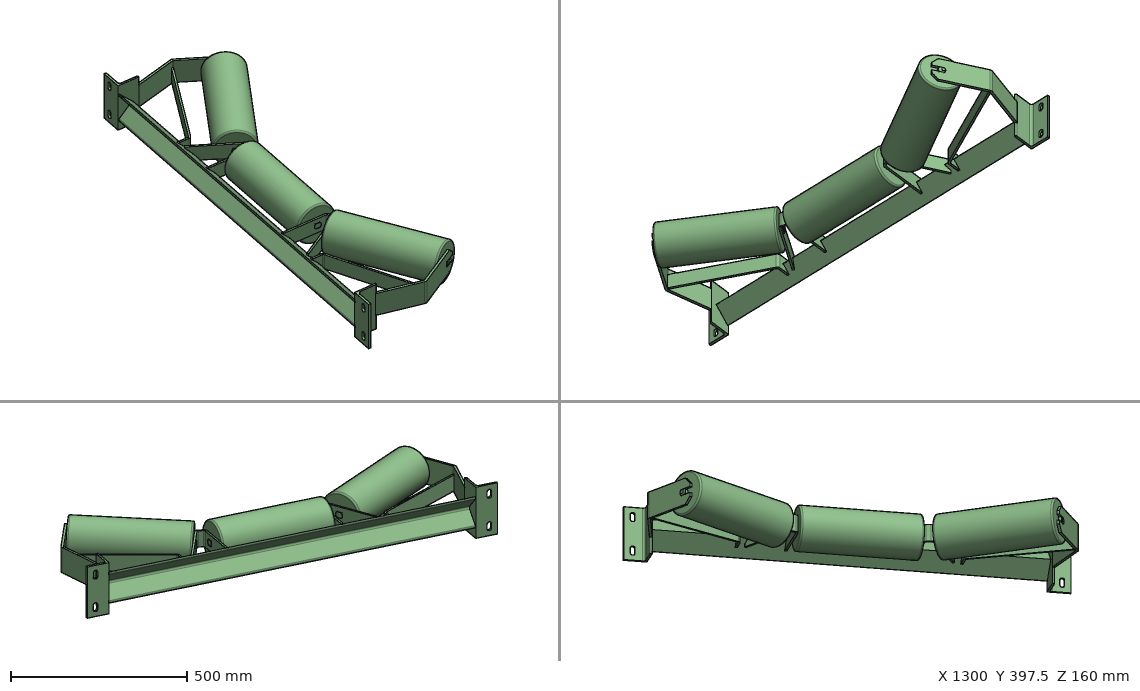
import cadquery as cq
import math

overall_length = 1300.0
strap_thickness = 8.0
brace_thickness = 6.0
bend_radius = 5.0

roller_diameter = 133.0
roller_length = 359.0
roller_edge_radius = 5.0
end_gap = 1.0
middle_axis_y = 151.0
wing_x = 389.0
wing_y = 252.0
wing_z = 5.0
trough_angle = 30.0
forward_tilt = 1.5

shaft_diameter = 23.0
shaft_flat_width = 18.0

beam_leg = 69.0
beam_thickness = 5.8
beam_root_radius = 6.0
beam_toe_radius = 5.0

foot_width = 69.0
foot_thickness = 8.0
foot_leg_height = 73.0
foot_leg_thickness = 6.0
foot_depth = 160.0
foot_root_radius = 8.0
foot_toe_radius = 4.0
slot_width = 14.0
slot_length = 27.0
slot_edge_distance = 26.0
slot_spacing = 101.0

strap_width = 79.0
strap_z = 9.8
strap_above_axis = 30.0
strap_below_axis = 147.0
strap_corner_chamfer = 20.0
strap_foot_overlap = 4.0
strut_width = 51.0
strut_bend_x = 328.0
strut_bend_y = 70.0

saddle_width = 51.0
saddle_shoulder_y = 186.0
saddle_above_axis = 39.0
saddle_below_axis = 145.0

foot_inner_x = overall_length / 2 - foot_width
foot_outer_x = foot_inner_x + foot_leg_thickness
beam_half_width = beam_leg / math.sqrt(2)
beam_apex_y = (beam_leg + beam_thickness) / math.sqrt(2)
plate_offset = roller_length / 2 + end_gap
strap_offset = plate_offset + strap_thickness / 2
saddle_offset = plate_offset + brace_thickness / 2
shaft_length = 2 * (plate_offset + strap_thickness)


def wing_point(along, across):
    """Point in XY beside the -X roller: outwards along its axis, then upwards across it."""
    angle = math.radians(trough_angle)
    x = -wing_x - along * math.cos(angle) + across * math.sin(angle)
    y = wing_y + along * math.sin(angle) + across * math.cos(angle)
    return x, y


def place_on_wing(body):
    """Move a body built along X at the origin to the -X outer roller position."""
    leaned = body.rotate((0, 0, 0), (0, 1, 0), forward_tilt)
    raised = leaned.rotate((0, 0, 0), (0, 0, 1), -trough_angle)
    return raised.translate((-wing_x, wing_y, wing_z))


def place_in_middle(body):
    return body.translate((0, middle_axis_y, 0))


def mirrored(body):
    return body.mirror("YZ")


def place_three(body):
    """Copies of a body at the -X, middle and +X roller positions."""
    wing = place_on_wing(body)
    return [wing, place_in_middle(body), mirrored(wing)]


def round_bend(solid, point, radius):
    """Round the edge parallel to Z that passes nearest to an XY point."""
    x, y = point
    z = solid.val().Center().z
    return solid.edges(cq.selectors.NearestToPointSelector((x, y, z))).fillet(radius)


def bent_plate(path, thickness, width, z_middle=0.0):
    """Plate of constant thickness whose mid-plane follows the XY path, with rounded bends."""
    points = [cq.Vector(x, y) for x, y in path]
    directions = [(end - start).normalized() for start, end in zip(points, points[1:])]
    before = [directions[0]] + directions
    after = directions + [directions[-1]]
    left = []
    right = []
    for point, d_in, d_out in zip(points, before, after):
        bisector = (d_in + d_out).normalized()
        normal = cq.Vector(-bisector.y, bisector.x)
        offset = normal * (thickness / 2 / bisector.dot(d_in))
        left.append((point + offset).toTuple()[:2])
        right.append((point - offset).toTuple()[:2])
    outline = cq.Workplane("XY").polyline(left + right[::-1]).close()
    solid = outline.extrude(width).translate((0, 0, -width / 2))
    for i in range(1, len(path) - 1):
        turns_left = before[i].cross(after[i]).z > 0
        inner, outer = (left[i], right[i]) if turns_left else (right[i], left[i])
        solid = round_bend(solid, inner, bend_radius)
        solid = round_bend(solid, outer, bend_radius + thickness)
    return solid.translate((0, 0, z_middle))


def make_shaft():
    """Round bar along X with two flats facing +Z and -Z."""
    bar = cq.Workplane("YZ").circle(shaft_diameter / 2).extrude(shaft_length)
    bar = bar.translate((-shaft_length / 2, 0, 0))
    return bar.intersect(cq.Workplane("XY").box(shaft_length, shaft_diameter, shaft_flat_width))


def make_roller():
    drum = cq.Workplane("YZ").circle(roller_diameter / 2).extrude(roller_length)
    drum = drum.translate((-roller_length / 2, 0, 0))
    drum = drum.edges("%CIRCLE").fillet(roller_edge_radius)
    return drum.cut(make_shaft())


def shaft_slot():
    """Clearance above the outer end of a shaft, so that it can be dropped in from +Y."""
    slot_height = strap_above_axis + strap_thickness
    block = cq.Workplane("XY").box(4 * strap_thickness, slot_height, shaft_flat_width)
    return block.translate((-strap_offset, slot_height / 2, 0))


def beam_envelope():
    """Wedge filling everything under the two outer faces of the angle section."""
    return (
        cq.Workplane("YZ")
        .polyline([
            (beam_apex_y, 0),
            (beam_apex_y - beam_half_width, beam_half_width),
            (beam_apex_y - beam_half_width, -beam_half_width),
        ])
        .close()
        .extrude(foot_inner_x, both=True)
    )


def make_beam():
    angle = (
        cq.Workplane("YZ")
        .polyline([
            (0, 0),
            (-beam_leg, 0),
            (-beam_leg, beam_thickness),
            (-beam_thickness, beam_thickness),
            (-beam_thickness, beam_leg),
            (0, beam_leg),
        ])
        .close()
        .extrude(foot_inner_x, both=True)
    )
    root = cq.selectors.NearestToPointSelector((0, -beam_thickness, beam_thickness))
    angle = angle.edges(root).fillet(beam_root_radius)
    for toe_y, toe_z in ((-beam_leg, beam_thickness), (-beam_thickness, beam_leg)):
        toe = cq.selectors.NearestToPointSelector((0, toe_y, toe_z))
        angle = angle.edges(toe).fillet(beam_toe_radius)
    return angle.rotate((0, 0, 0), (1, 0, 0), 45).translate((0, beam_apex_y, 0))


def make_saddle():
    """Bent plate on the -X side, holding the middle roller and an outer roller."""
    path = [
        (-saddle_offset, beam_apex_y - saddle_width / 2),
        (-saddle_offset, saddle_shoulder_y),
        wing_point(-saddle_offset, saddle_above_axis),
        wing_point(-saddle_offset, -saddle_below_axis),
    ]
    saddle = bent_plate(path, brace_thickness, saddle_width).cut(beam_envelope())
    saddle = saddle.cut(place_in_middle(make_shaft()))
    return saddle.cut(place_on_wing(make_shaft()))


def make_crossbeam():
    """Angle section with the two saddles standing on its ridge."""
    saddle = make_saddle()
    return make_beam().union(saddle).union(mirrored(saddle))


def make_foot():
    """Slotted angle at the -X end."""
    end_x = -overall_length / 2
    foot = (
        cq.Workplane("XY")
        .polyline([
            (end_x, 0),
            (-foot_inner_x, 0),
            (-foot_inner_x, foot_leg_height),
            (-foot_outer_x, foot_leg_height),
            (-foot_outer_x, foot_thickness),
            (end_x, foot_thickness),
        ])
        .close()
        .extrude(foot_depth / 2, both=True)
    )
    root = cq.selectors.NearestToPointSelector((-foot_outer_x, foot_thickness, 0))
    toe = cq.selectors.NearestToPointSelector((-foot_outer_x, foot_leg_height, 0))
    foot = foot.edges(root).fillet(foot_root_radius)
    foot = foot.edges(toe).fillet(foot_toe_radius)
    slots = (
        cq.Workplane("XZ")
        .center(end_x + slot_edge_distance, 0)
        .rarray(13, slot_spacing, 1, 2)
        .slot2D(slot_length, slot_width, 90)
        .extrude(-foot_thickness)
    )
    return foot.cut(slots)


def make_strap():
    strap_path = [
        wing_point(strap_offset, strap_above_axis),
        wing_point(strap_offset, -strap_below_axis),
        (-foot_inner_x - strap_thickness / 2, foot_leg_height - strap_foot_overlap),
    ]
    strap = bent_plate(strap_path, strap_thickness, strap_width, strap_z)
    corner_x, corner_y = strap_path[0]
    for side in (1, -1):
        corner = (corner_x, corner_y, strap_z + side * strap_width / 2)
        top_corner = cq.selectors.NearestToPointSelector(corner)
        strap = strap.edges(top_corner).chamfer(strap_corner_chamfer)
    return strap


def make_end_support():
    """Foot, strap and strut of the -X end as one welded body."""
    strap = make_strap()
    strap = strap.cut(place_on_wing(make_shaft())).cut(place_on_wing(shaft_slot()))
    strut_path = [
        wing_point(strap_offset, -strap_below_axis),
        (-strut_bend_x, strut_bend_y),
        (-strut_bend_x, beam_apex_y - strut_width / 2),
    ]
    strut = bent_plate(strut_path, brace_thickness, strut_width).cut(beam_envelope())
    return make_foot().union(strap).union(strut)


crossbeam = make_crossbeam()
left_support = make_end_support()
end_supports = [left_support, mirrored(left_support)]
rollers = place_three(make_roller())
shafts = place_three(make_shaft())

result = cq.Compound.makeCompound(
    [body.val() for body in [crossbeam, *end_supports, *rollers, *shafts]]
)